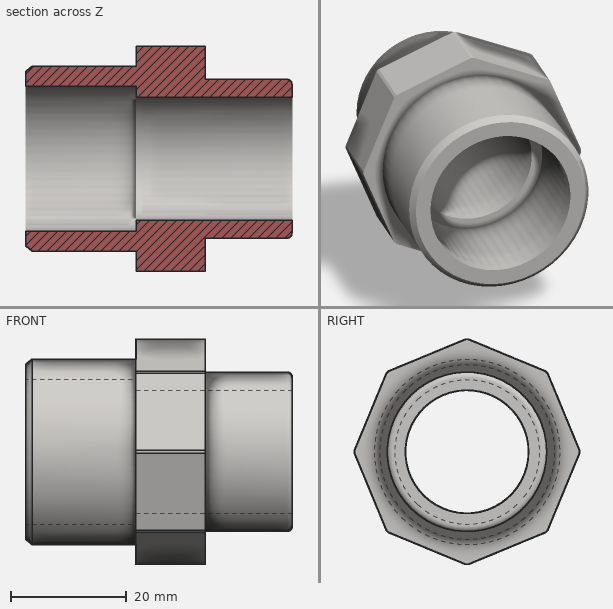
import cadquery as cq
import math

total_length = 46.0
large_end_length = 19.0
collar_length = 12.0
small_end_start = large_end_length + collar_length

large_end_diameter = 32.0
small_end_diameter = 27.5
collar_corner_diameter = 38.85
collar_across_flats = 36.1
collar_sides = 8

large_chamfer_length = 1.1
large_chamfer_depth = 0.9
small_end_round = 0.9

socket_diameter = 25.0
bore_diameter = 21.2
socket_depth = large_end_length


def cylinder(start, length, diameter):
    """Cylinder on the X axis, beginning at X = start."""
    return cq.Workplane("YZ", origin=(start, 0, 0)).circle(diameter / 2).extrude(length)


def round_ends():
    """Revolved outside of both round ends, with the chamfer and the rounded edge."""
    large_radius = large_end_diameter / 2
    small_radius = small_end_diameter / 2
    return (
        cq.Workplane("XY")
        .moveTo(0, 0)
        .lineTo(0, large_radius - large_chamfer_depth)
        .lineTo(large_chamfer_length, large_radius)
        .lineTo(small_end_start, large_radius)
        .lineTo(small_end_start, small_radius)
        .lineTo(total_length - small_end_round, small_radius)
        .radiusArc((total_length, small_radius - small_end_round), small_end_round)
        .lineTo(total_length, 0)
        .close()
        .revolve(360, (0, 0, 0), (1, 0, 0))
    )


def octagonal_collar():
    """Octagon with corners on Y and Z, its corners turned to a round."""
    sharp_corner_diameter = collar_across_flats / math.cos(math.pi / collar_sides)
    octagon = (
        cq.Workplane("YZ", origin=(large_end_length, 0, 0))
        .polygon(collar_sides, sharp_corner_diameter)
        .extrude(collar_length)
    )
    return octagon.intersect(cylinder(large_end_length, collar_length, collar_corner_diameter))


body = round_ends().union(octagonal_collar())
socket = cylinder(0, socket_depth, socket_diameter)
bore = cylinder(0, total_length, bore_diameter)
result = body.cut(socket).cut(bore)